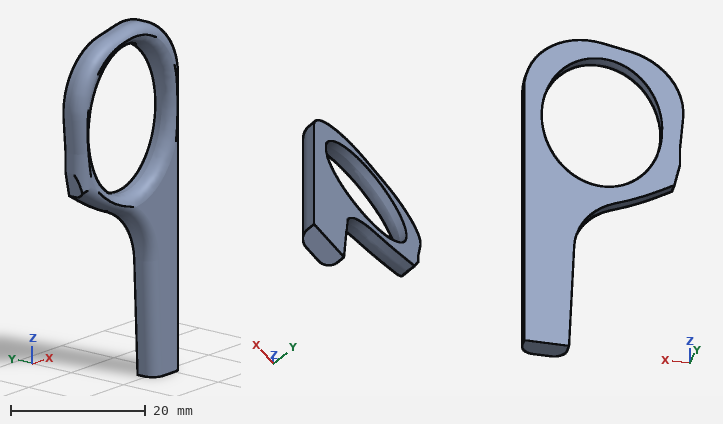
import cadquery as cq
import math

thickness = 3.3
height = 55.55
width = 24.2
edge_radius = 2.0

crown_radius = 9.95
crown_center = (width - crown_radius, height - crown_radius)

shoulder_radius = 10.15
shoulder_center = (shoulder_radius, 44.55)
shoulder_end_angle = 185.0

flank_x = 0.5
flank_top_z = 38.3
corner_z = 31.95
chin_start = (3.35, 30.2)
chin_end = (10.5, 26.7)

throat_middle = (14.85, 23.3)
throat_end = (16.6, 18.05)
handle_foot_x = 17.4

opening_center = (12.4, 41.05)
opening_half_width = 9.15
opening_half_height = 11.5

facet_top = (flank_x, 35.2)
facet_bottom = (1.4, 31.3)
facet_overrun = 0.5

plate_width = 3 * width
plate_height = 3 * height


def on_circle(center, radius, degrees):
    angle = math.radians(degrees)
    return (center[0] + radius * math.cos(angle), center[1] + radius * math.sin(angle))


def extrude_through(sketch):
    """Extrude an XZ outline from the front plane Y = 0 to the flat back face."""
    return sketch.extrude(-thickness)


def make_body():
    """Solid outline with every front edge rounded except the foot."""
    center_dx = crown_center[0] - shoulder_center[0]
    center_dz = crown_center[1] - shoulder_center[1]
    center_distance = math.hypot(center_dx, center_dz)
    tangent_angle = 90 + math.degrees(
        math.atan2(center_dz, center_dx)
        - math.asin((shoulder_radius - crown_radius) / center_distance)
    )
    shoulder_middle_angle = (tangent_angle + shoulder_end_angle) / 2
    crown_middle_angle = tangent_angle / 2

    outline = (
        cq.Workplane("XZ")
        .moveTo(handle_foot_x, 0)
        .lineTo(width, 0)
        .lineTo(width, crown_center[1])
        .threePointArc(
            on_circle(crown_center, crown_radius, crown_middle_angle),
            on_circle(crown_center, crown_radius, tangent_angle),
        )
        .lineTo(*on_circle(shoulder_center, shoulder_radius, tangent_angle))
        .threePointArc(
            on_circle(shoulder_center, shoulder_radius, shoulder_middle_angle),
            on_circle(shoulder_center, shoulder_radius, shoulder_end_angle),
        )
        .lineTo(flank_x, flank_top_z)
        .lineTo(flank_x, corner_z)
        .lineTo(*chin_start)
        .tangentArcPoint(chin_end, relative=False)
        .threePointArc(throat_middle, throat_end)
        .close()
    )
    body = extrude_through(outline)
    return body.faces("<Y").edges("not <Z").fillet(edge_radius)


def make_opening_envelope():
    """Oversized plate whose elliptical opening has a rounded front rim."""
    plate = extrude_through(cq.Workplane("XZ").rect(plate_width, plate_height))
    opening = extrude_through(
        cq.Workplane("XZ")
        .center(*opening_center)
        .ellipse(opening_half_width, opening_half_height)
    )
    return plate.cut(opening).faces("<Y").edges("%ELLIPSE").fillet(edge_radius)


def make_corner_cutter():
    """Triangular prism outside the facet plane."""
    dx = facet_bottom[0] - facet_top[0]
    dz = facet_bottom[1] - facet_top[1]
    upper = (facet_top[0] - facet_overrun * dx, facet_top[1] - facet_overrun * dz)
    lower = (facet_bottom[0] + facet_overrun * dx, facet_bottom[1] + facet_overrun * dz)
    return extrude_through(cq.Workplane("XZ").polyline([upper, lower, (upper[0], lower[1])]).close())


result = make_body().cut(make_corner_cutter()).intersect(make_opening_envelope())